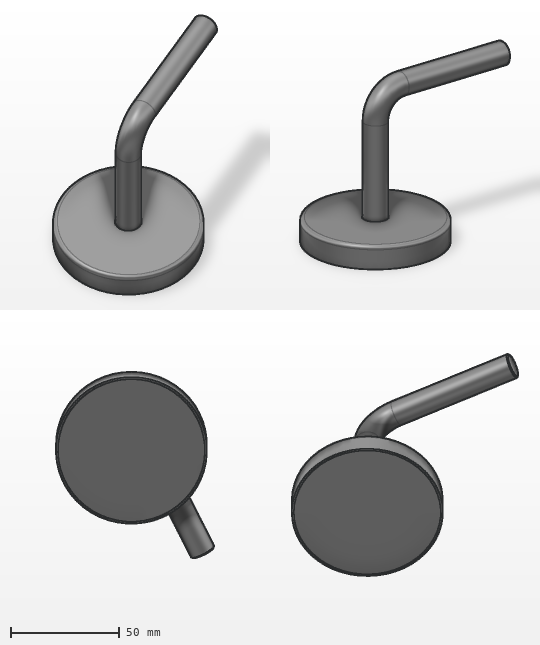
import cadquery as cq

cover_diameter = 70.0
cover_height = 12.0
cover_edge_radius = 2.0
plate_diameter = 68.0
rod_hole_diameter = 12.4

rod_diameter = 12.0
rod_end_chamfer = 0.5
bend_radius = 15.0

total_length = 110.0
total_height = 81.0

cover_wall = (cover_diameter - plate_diameter) / 2
plate_height = cover_height - cover_wall
plate_edge_radius = cover_edge_radius - cover_wall

arm_end_y = total_length - cover_diameter / 2
arm_axis_z = total_height - rod_diameter / 2
upright_top_z = arm_axis_z - bend_radius


def make_rounded_disc(diameter, height, edge_radius):
    """Disc standing on Z = 0 with a rounded top edge."""
    disc = cq.Workplane("XY").circle(diameter / 2).extrude(height)
    return disc.faces(">Z").edges().fillet(edge_radius)


def make_plate():
    """Mounting plate inside the cover; the rod stands on its top face."""
    return make_rounded_disc(plate_diameter, plate_height, plate_edge_radius)


def make_cover():
    """Thin cover over the plate, with a clearance hole for the rod."""
    cover = make_rounded_disc(cover_diameter, cover_height, cover_edge_radius)
    cover = cover.cut(make_plate())
    rod_hole = cq.Workplane("XY").circle(rod_hole_diameter / 2).extrude(cover_height)
    return cover.cut(rod_hole)


def make_rod():
    """Round rod that rises from the plate, bends and runs out along +Y."""
    centre_line = (
        cq.Workplane("YZ")
        .moveTo(0, plate_height)
        .lineTo(0, upright_top_z)
        .tangentArcPoint((bend_radius, arm_axis_z), relative=False)
        .lineTo(arm_end_y, arm_axis_z)
    )
    section = cq.Workplane("XY").workplane(offset=plate_height).circle(rod_diameter / 2)
    rod = section.sweep(centre_line)
    return rod.faces(">Y").edges().chamfer(rod_end_chamfer)


plate = make_plate()
cover = make_cover()
rod = make_rod()

bodies = [plate, cover, rod]
result = cq.Compound.makeCompound([body.solids().val() for body in bodies])